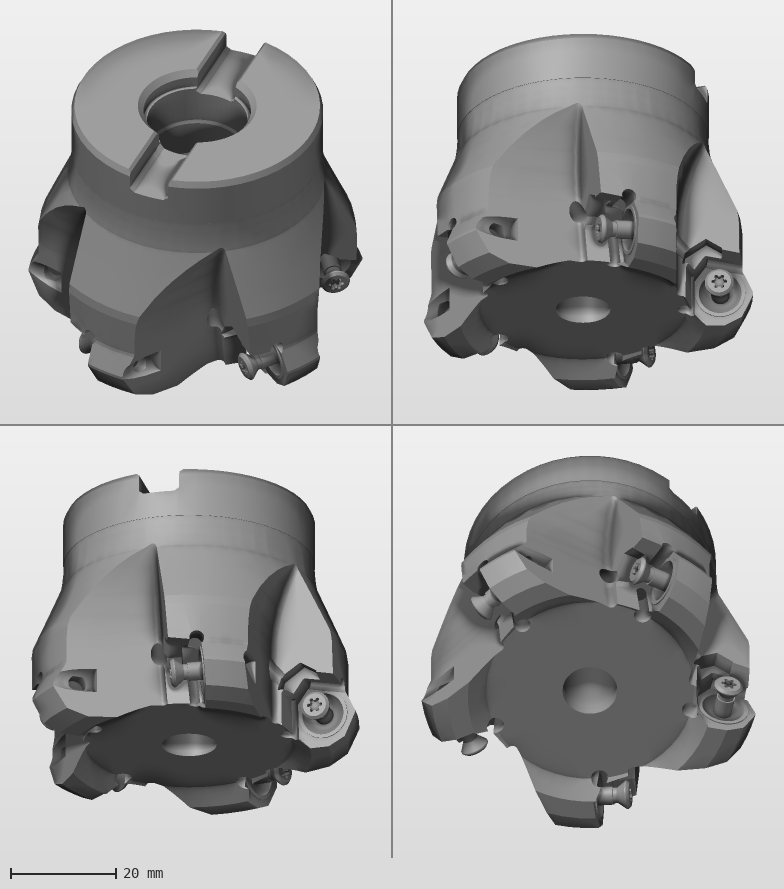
import cadquery as cq
import math

TEETH = 5
TOOTH_PITCH = 360 / TEETH
HEIGHT = 49.48
FAR = 60.0
OVERCUT = 0.5

HUB_RADIUS = 23.9
HUB_CHAMFER_WIDTH = 0.6
HUB_CHAMFER_HEIGHT = 1.2
HUB_STEP_Z = 39.7
HUB_STEP = 0.1
CONE_TOP_RADIUS = 24.5
CONE_TOP_Z = 33.2
CONE_BOTTOM_RADIUS = 30.0
SHOULDER_TOP_Z = 20.4
SHOULDER_BOTTOM_Z = 18.6
RIM_RADIUS = 30.26
RIM_BOTTOM_Z = 11.3
LIP_TOP_Z = 10.7
LIP_FLARE = 0.15
LIP_RADIUS = 32.28
LIP_EDGE_TOP_Z = 6.7
LIP_EDGE_BOTTOM_Z = 6.1
LIP_LOWER_RADIUS = 30.15
LIP_LOWER_Z = 1.65
FACE_OUTER_RADIUS = 27.0
FACE_INNER_RADIUS = 23.2
RECESS_RADIUS = 19.7
RECESS_DEPTH = 2.6

BORE_RADIUS = 9.53
BORE_FLOOR_Z = 31.0
BORE_STEP_Z = 38.6
BORE_STEP_HEIGHT = 0.6
BORE_LOWER_RADIUS = 9.2
THROUGH_RADIUS = 5.2
THROUGH_CHAMFER = 0.4
MOUTH_RADIUS = 11.27
MOUTH_STEP_RADIUS = 10.2
MOUTH_CONE_DEPTH = 1.2
MOUTH_DEPTH = 3.4
SLOT_WIDTH = 7.9
SLOT_DEPTH = 4.65
SLOT_CHAMFER = 0.55
SLOT_FLOOR_CHAMFER_WIDTH = 0.95
SLOT_FLOOR_CHAMFER_HEIGHT = 0.7

WALL_POINT = (-15.46, -26.0, 19.3)
WALL_ANGLE = 162.5
WALL_DIP = 4.4
FLOOR_ANGLE = 251.6
FLOOR_DISTANCE = 17.83
FLOOR_TANGENT_Z = 15.1
FLOOR_CURVE_RADIUS = 37.8
FLUTE_TOP_Z = 42.0
FLOOR_TILT = 5.0
FLUTE_FILLET = 1.05
FLUTE_CORNER_BOX = ((-22, -22, 5), (-5, -8, 40))
FLOOR_PIVOT = 10.0

SCREW_ANGLE = 160.0
SCREW_DIP = 6.0
SCREW_OFFSET = 26.0
SCREW_Z = 6.28
SEAT_LEVEL = -1.4
SEAT_RADIUS = 4.75
SEAT_RELIEF = 0.25
CUP_RADIUS = 4.05
CUP_DEPTH = 1.2
CUP_CURVE_POINT = (3.45, 0.78)
POCKET_DRAFT = 12.0
POCKET_REACH = 9.0
ROOF_OUTER = (8.0, 3.6)
ROOF_INNER = (-2.5, 5.8)
POCKET_INNER = (-4.9, 2.5)
POCKET_LOWER = (-4.9, -4.3)
POCKET_FOOT = 2.8
POCKET_BOTTOM = -12.0
RELIEF_OUTLINE = [(-7.0, 3.6), (-6.5, 6.0), (-2.5, 8.7), (0.6, 6.8), (0.0, 4.0)]
RELIEF_LEVEL = 1.5
CORNER_GROOVE_RADIUS = 1.6
CORNER_GROOVE_OFFSET = (1.6, 1.4)
CORNER_GROOVE_TOP = 3.5
ROOF_GROOVE_RADIUS = 1.4
ROOF_GROOVE_RAISE = 0.7

NOTCH_RADIUS = 2.4
NOTCH_FLOOR_LEVEL = -9.3
NOTCH_INNER_END = 22.9

COOLANT_RADIUS = 1.5
COOLANT_OVERRUN = (3.0, 5.0)
COOLANT_START = (-7.5, 0.0, BORE_FLOOR_Z)
COOLANT_END = (-12.8, -16.7, 11.0)

SHANK_RADIUS = 1.75
SHANK_END = -7.5
SCREW_NECK_RADIUS = 1.5
SCREW_NECK_LEVELS = (1.2, 2.0)
HEAD_RADIUS = 2.75
HEAD_TOP = 4.45
HEAD_RIM_BOTTOM = 3.7
HEAD_CHAMFER = 0.5
STAR_DEPTH = 1.2
STAR_CORE_RADIUS = 1.0
STAR_LOBE_CIRCLE = 1.15
STAR_LOBE_RADIUS = 0.35
STAR_LOBES = 6


def direction(angle, dip=0.0):
    """Unit vector at an angle around Z, pointing down by the dip angle."""
    turn = math.radians(angle)
    fall = math.radians(dip)
    return cq.Vector(math.cos(turn) * math.cos(fall), math.sin(turn) * math.cos(fall), -math.sin(fall))


OUTWARD = direction(SCREW_ANGLE + 90)
SCREW_AXIS = direction(SCREW_ANGLE, SCREW_DIP)
UPWARD = SCREW_AXIS.cross(OUTWARD)
SCREW_CENTRE = OUTWARD * SCREW_OFFSET + cq.Vector(0, 0, SCREW_Z)


def seat_point(out, up, level):
    """Point given by its distances from the screw centre along the seat's directions."""
    return SCREW_CENTRE + OUTWARD * out + UPWARD * up + SCREW_AXIS * level


def seat_workplane(level):
    """Workplane square to the screw axis: x outwards, y upwards."""
    return cq.Workplane(cq.Plane(seat_point(0, 0, level), OUTWARD, SCREW_AXIS))


def rod(start, axis, length, radius):
    return cq.Workplane(obj=cq.Solid.makeCylinder(radius, length, start, axis))


def turning_workplane():
    """Workplane through the screw axis: x is the radius, y the level along the axis."""
    return cq.Workplane(cq.Plane(SCREW_CENTRE, OUTWARD, UPWARD * -1))


def for_each_tooth(shape):
    return [shape.rotate((0, 0, 0), (0, 0, 1), TOOTH_PITCH * k) for k in range(TEETH)]


def turned_blank():
    neck_top = HUB_RADIUS - HUB_STEP
    flare = CONE_TOP_RADIUS - neck_top
    neck_middle = (neck_top + flare / 4, (HUB_STEP_Z + CONE_TOP_Z) / 2)
    return (
        cq.Workplane("XZ")
        .moveTo(0, HEIGHT)
        .lineTo(HUB_RADIUS - HUB_CHAMFER_WIDTH, HEIGHT)
        .lineTo(HUB_RADIUS, HEIGHT - HUB_CHAMFER_HEIGHT)
        .lineTo(HUB_RADIUS, HUB_STEP_Z)
        .lineTo(neck_top, HUB_STEP_Z)
        .threePointArc(neck_middle, (CONE_TOP_RADIUS, CONE_TOP_Z))
        .lineTo(CONE_BOTTOM_RADIUS, SHOULDER_TOP_Z)
        .lineTo(RIM_RADIUS, SHOULDER_BOTTOM_Z)
        .lineTo(RIM_RADIUS, RIM_BOTTOM_Z)
        .lineTo(RIM_RADIUS + LIP_FLARE, LIP_TOP_Z)
        .lineTo(LIP_RADIUS, LIP_EDGE_TOP_Z)
        .lineTo(LIP_RADIUS, LIP_EDGE_BOTTOM_Z)
        .lineTo(LIP_LOWER_RADIUS, LIP_LOWER_Z)
        .lineTo(FACE_OUTER_RADIUS, 0)
        .lineTo(FACE_INNER_RADIUS, 0)
        .lineTo(RECESS_RADIUS, RECESS_DEPTH)
        .lineTo(0, RECESS_DEPTH)
        .close()
        .revolve(360, (0, 0, 0), (0, 1, 0))
    )


def bore():
    outline = [
        (0, HEIGHT),
        (MOUTH_RADIUS, HEIGHT),
        (MOUTH_STEP_RADIUS, HEIGHT - MOUTH_CONE_DEPTH),
        (MOUTH_STEP_RADIUS, HEIGHT - MOUTH_DEPTH),
        (BORE_RADIUS, HEIGHT - MOUTH_DEPTH),
        (BORE_RADIUS, BORE_STEP_Z),
        (BORE_LOWER_RADIUS, BORE_STEP_Z - BORE_STEP_HEIGHT),
        (BORE_LOWER_RADIUS, BORE_FLOOR_Z),
        (THROUGH_RADIUS + THROUGH_CHAMFER, BORE_FLOOR_Z),
        (THROUGH_RADIUS, BORE_FLOOR_Z - THROUGH_CHAMFER),
        (THROUGH_RADIUS, 0),
        (0, 0),
    ]
    return cq.Workplane("XZ").polyline(outline).close().revolve(360, (0, 0, 0), (0, 1, 0))


def drive_slot():
    half = SLOT_WIDTH / 2
    floor_z = HEIGHT - SLOT_DEPTH
    right_side = [
        (half - SLOT_FLOOR_CHAMFER_WIDTH, floor_z),
        (half, floor_z + SLOT_FLOOR_CHAMFER_HEIGHT),
        (half, HEIGHT - SLOT_CHAMFER),
        (half + SLOT_CHAMFER, HEIGHT),
    ]
    left_side = [(-x, z) for x, z in reversed(right_side)]
    return cq.Workplane("XZ").polyline(right_side + left_side).close().extrude(FAR, both=True)


def floor_plane():
    """Plane in the flute floor's section: x along the outward normal, y up."""
    normal = direction(FLOOR_ANGLE)
    return cq.Plane(normal * FLOOR_DISTANCE, normal, direction(FLOOR_ANGLE - 90))


def flute():
    """Space in front of one tooth's wall, outside the curved floor."""
    rise = FLUTE_TOP_Z - FLOOR_TANGENT_Z
    curve_end = FLOOR_CURVE_RADIUS - math.sqrt(FLOOR_CURVE_RADIUS**2 - rise**2)
    half_rise = rise / 2
    curve_middle = FLOOR_CURVE_RADIUS - math.sqrt(FLOOR_CURVE_RADIUS**2 - half_rise**2)
    section = (
        cq.Workplane(floor_plane())
        .moveTo(0, -FAR)
        .lineTo(0, FLOOR_TANGENT_Z)
        .threePointArc((curve_middle, FLOOR_TANGENT_Z + half_rise), (curve_end, FLUTE_TOP_Z))
        .lineTo(FAR, FLUTE_TOP_Z)
        .lineTo(FAR, -FAR)
        .close()
        .extrude(FAR, both=True)
    )
    pivot = direction(FLOOR_ANGLE) * FLOOR_DISTANCE + direction(FLOOR_ANGLE - 90) * FLOOR_PIVOT
    pivot = cq.Vector(pivot.x, pivot.y, FLOOR_TANGENT_Z)
    section = section.rotate(pivot.toTuple(), (pivot + direction(FLOOR_ANGLE)).toTuple(), FLOOR_TILT)
    wall = cq.Plane(WALL_POINT, direction(WALL_ANGLE - 90), direction(WALL_ANGLE, WALL_DIP))
    before_wall = cq.Workplane(wall).rect(3 * FAR, 3 * FAR).extrude(FAR)
    space = section.intersect(before_wall)
    corner = cq.selectors.BoxSelector(*FLUTE_CORNER_BOX)
    return space.edges(corner).fillet(FLUTE_FILLET)


def insert_pocket():
    """Pocket for the indexable insert, with a raised round seat and relieved corners."""
    floor_level = SEAT_LEVEL - SEAT_RELIEF
    outline = [
        ROOF_OUTER,
        ROOF_INNER,
        POCKET_INNER,
        POCKET_LOWER,
        (POCKET_FOOT, POCKET_BOTTOM),
        (ROOF_OUTER[0], POCKET_BOTTOM),
    ]
    pocket = seat_workplane(floor_level).polyline(outline).close()
    pocket = pocket.extrude(POCKET_REACH, taper=-POCKET_DRAFT)
    relief = seat_workplane(RELIEF_LEVEL).polyline(RELIEF_OUTLINE).close().extrude(POCKET_REACH)
    pocket = pocket.union(relief)
    seat = seat_workplane(floor_level).circle(SEAT_RADIUS).extrude(SEAT_RELIEF)
    return pocket.cut(seat)


def pocket_grooves():
    floor_level = SEAT_LEVEL - SEAT_RELIEF
    inwards, raised = CORNER_GROOVE_OFFSET
    corner_start = seat_point(POCKET_INNER[0] - inwards, POCKET_BOTTOM, floor_level + raised)
    corner = rod(corner_start, UPWARD, CORNER_GROOVE_TOP - POCKET_BOTTOM, CORNER_GROOVE_RADIUS)
    roof_level = floor_level + ROOF_GROOVE_RADIUS / 2
    start = seat_point(ROOF_INNER[0], ROOF_INNER[1] + ROOF_GROOVE_RAISE, roof_level)
    end = seat_point(ROOF_OUTER[0], ROOF_OUTER[1] + ROOF_GROOVE_RAISE, roof_level)
    roof = rod(start, end - start, (end - start).Length, ROOF_GROOVE_RADIUS)
    return [corner, roof]


def screw_opening():
    """Cup in the seat, screw hole and notch behind the tooth."""
    cup_floor = SEAT_LEVEL - CUP_DEPTH
    cup = (
        turning_workplane()
        .moveTo(0, SEAT_LEVEL)
        .lineTo(CUP_RADIUS, SEAT_LEVEL)
        .threePointArc((CUP_CURVE_POINT[0], SEAT_LEVEL - CUP_CURVE_POINT[1]), (SHANK_RADIUS, cup_floor))
        .lineTo(0, cup_floor)
        .close()
        .revolve(360, (0, 0, 0), (0, 1, 0))
    )
    hole_start = NOTCH_FLOOR_LEVEL - OVERCUT
    hole_length = cup_floor + OVERCUT - hole_start
    hole = rod(seat_point(0, 0, hole_start), SCREW_AXIS, hole_length, SHANK_RADIUS)
    notch = rod(
        seat_point(NOTCH_INNER_END - SCREW_OFFSET, 0, NOTCH_FLOOR_LEVEL - NOTCH_RADIUS),
        OUTWARD,
        FAR,
        NOTCH_RADIUS,
    )
    return [cup, hole, notch]


def coolant_channel():
    start = cq.Vector(*COOLANT_START)
    run = cq.Vector(*COOLANT_END) - start
    lead, overrun = COOLANT_OVERRUN
    return rod(start - run.normalized() * lead, run, lead + run.Length + overrun, COOLANT_RADIUS)


def cutter_body():
    body = turned_blank().cut(bore()).cut(drive_slot())
    tools = [flute(), coolant_channel(), insert_pocket(), *pocket_grooves(), *screw_opening()]
    for tool in tools:
        for copy in for_each_tooth(tool):
            body = body.cut(copy)
    return body


def screw():
    outline = [
        (0, SHANK_END),
        (SHANK_RADIUS, SHANK_END),
        (SHANK_RADIUS, SCREW_NECK_LEVELS[0]),
        (SCREW_NECK_RADIUS, SCREW_NECK_LEVELS[0]),
        (SCREW_NECK_RADIUS, SCREW_NECK_LEVELS[1]),
        (HEAD_RADIUS, HEAD_RIM_BOTTOM),
        (HEAD_RADIUS, HEAD_TOP - HEAD_CHAMFER),
        (HEAD_RADIUS - HEAD_CHAMFER, HEAD_TOP),
        (0, HEAD_TOP),
    ]
    socket = seat_workplane(HEAD_TOP - STAR_DEPTH)
    star = socket.circle(STAR_CORE_RADIUS).extrude(STAR_DEPTH)
    lobe_centres = socket.polarArray(STAR_LOBE_CIRCLE, 0, 360, STAR_LOBES)
    lobes = lobe_centres.circle(STAR_LOBE_RADIUS).extrude(STAR_DEPTH)
    blank = turning_workplane().polyline(outline).close().revolve(360, (0, 0, 0), (0, 1, 0))
    return blank.cut(star.union(lobes))


body = cutter_body()
screws = for_each_tooth(screw())
result = cq.Compound.makeCompound([body.solids().val(), *[s.solids().val() for s in screws]])